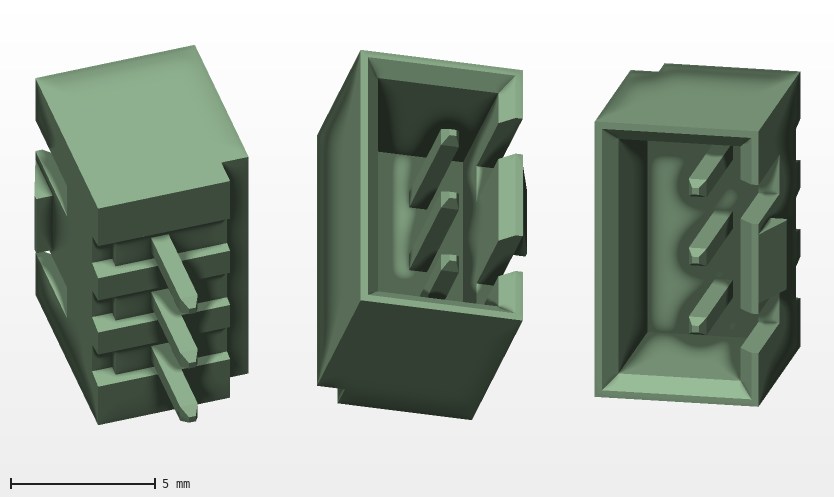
import cadquery as cq


overall_length = 10.6
body_length = 7.2
body_width = 5.8
body_height = 10.0

wall = 0.74
mouth_lip = 0.25
mouth_bevel_depth = 0.51
cavity_depth = 5.5

step_length = 1.02
step_width = 1.0

pin_pitch = 2.5
pin_positions = (-pin_pitch, 0, pin_pitch)
pin_size = 0.64
pin_y = 2.35
pin_start = 0.58
tip_length = 0.4
tip_size = 0.24

slot_length = 3.6
slot_height = 1.42
slot_offset = 2.34

latch_length = 2.0
latch_flat = 0.22
latch_rise = 0.6
latch_height = 2.5

notch_z_shift = 0.02
notch_depth = 0.35
wall_notch_depth = 0.7
notch_mouth = 1.48
notch_floor = 1.23


def block(x_start, x_end, y_start, y_end, height, z_center=0):
    """Box given by its X and Y limits, centred on z_center."""
    return (
        cq.Workplane("XY")
        .box(x_end - x_start, y_end - y_start, height, centered=(False, False, True))
        .translate((x_start, y_start, z_center))
    )


def make_housing():
    """Shroud with a bevelled mouth and a step on the rear edge opposite the latch."""
    outer = block(0, body_length, 0, body_width, body_height)
    cavity = block(0, cavity_depth, wall, body_width - wall, body_height - 2 * wall)
    bevel = (
        cq.Workplane("YZ")
        .center(body_width / 2, 0)
        .rect(body_width - 2 * mouth_lip, body_height - 2 * mouth_lip)
        .workplane(offset=mouth_bevel_depth)
        .rect(body_width - 2 * wall, body_height - 2 * wall)
        .loft(ruled=True)
    )
    step = block(body_length - step_length, body_length, body_width - step_width, body_width, body_height)
    return outer.cut(cavity).cut(bevel).cut(step)


def make_slot(z_center):
    """Slot through the latch-side wall, open at the mouth."""
    return block(0, slot_length, 0, wall, slot_height, z_center)


def make_notch(z_center):
    """Tapered notch across the rear face, cut deeper through the latch-side wall."""
    x_floor = body_length - wall_notch_depth
    tapered = (
        cq.Workplane("XZ")
        .polyline([
            (x_floor, z_center - notch_floor / 2),
            (body_length, z_center - notch_mouth / 2),
            (body_length, z_center + notch_mouth / 2),
            (x_floor, z_center + notch_floor / 2),
        ])
        .close()
        .extrude(-body_width)
    )
    kept_base = block(x_floor, body_length - notch_depth, wall, body_width, notch_mouth, z_center)
    return tapered.cut(kept_base)


def make_latch():
    """Wedge rising from the mouth edge to a narrow flat."""
    return (
        cq.Workplane("XY")
        .workplane(offset=-latch_height / 2)
        .polyline([
            (0, 0),
            (latch_length - latch_flat, -latch_rise),
            (latch_length, -latch_rise),
            (latch_length, 0),
        ])
        .close()
        .extrude(latch_height)
    )


def make_tip(x_base, direction):
    """Pyramid frustum narrowing from x_base along +X or -X."""
    return (
        cq.Workplane("YZ")
        .workplane(offset=x_base)
        .center(pin_y, 0)
        .rect(pin_size, pin_size)
        .workplane(offset=direction * tip_length)
        .rect(tip_size, tip_size)
        .loft(ruled=True)
    )


def make_pin(z_center):
    """Square pin with a tapered tip at each end."""
    shank_start = pin_start + tip_length
    shank_end = overall_length - tip_length
    shank = block(shank_start, shank_end, pin_y - pin_size / 2, pin_y + pin_size / 2, pin_size)
    pin = shank.union(make_tip(shank_start, -1)).union(make_tip(shank_end, 1))
    return pin.translate((0, 0, z_center))


result = make_housing().union(make_latch())
for z_slot in (-slot_offset, slot_offset):
    result = result.cut(make_slot(z_slot))
for z_pin in pin_positions:
    result = result.cut(make_notch(z_pin + notch_z_shift))
for z_pin in pin_positions:
    result = result.union(make_pin(z_pin))